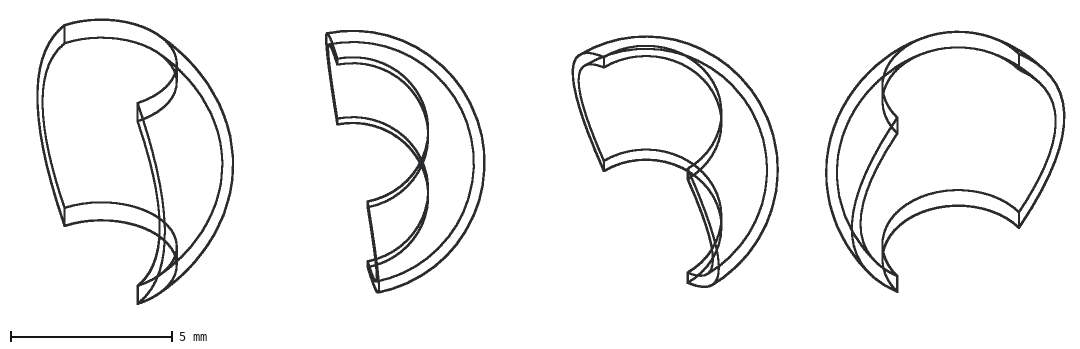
import cadquery as cq

outer_radius = 4.085
inner_radius = 3.75
opening_radius = 2.34
height = 7.7
rim_height = 0.695
front_overhang = 0.01

half_height = height / 2
cavity_half_height = half_height - rim_height

wall_section = (
    cq.Workplane("XZ")
    .moveTo(opening_radius, -half_height)
    .spline([(outer_radius, 0), (opening_radius, half_height)], includeCurrent=True)
    .lineTo(opening_radius, cavity_half_height)
    .spline([(inner_radius, 0), (opening_radius, -cavity_half_height)], includeCurrent=True)
    .close()
)
shell = wall_section.revolve(360, (0, 0, 0), (0, 1, 0))

kept_half = cq.Workplane("XY").box(
    2 * outer_radius, outer_radius + front_overhang, height, centered=(True, False, True)
).translate((0, -front_overhang, 0))

result = shell.intersect(kept_half)